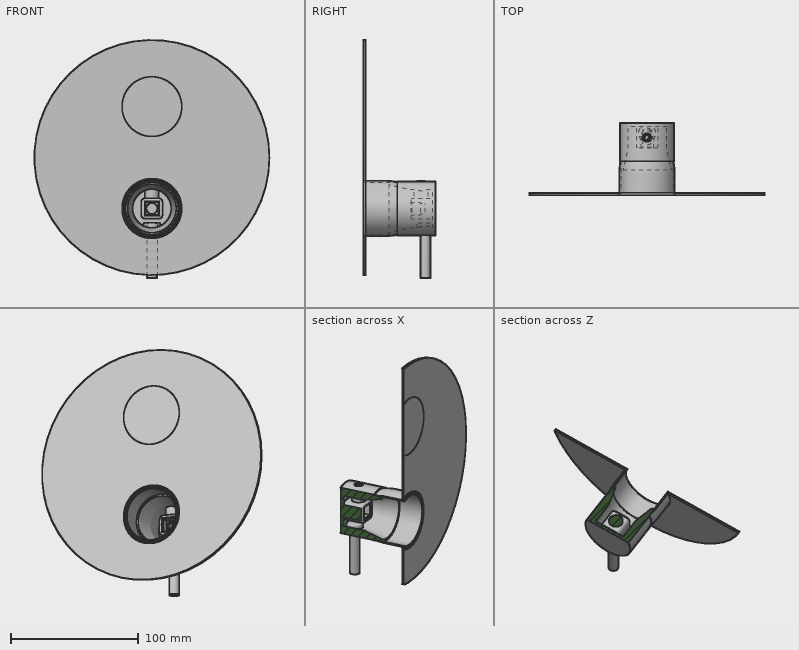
import cadquery as cq

PLATE_DIAMETER = 185.0
PLATE_THICKNESS = 2.0
CONTROL_OFFSET = 40.0
SEAT_DIAMETER = 47.0
SEAT_DEPTH = 0.1
PASSAGE_DIAMETER = 44.7

SLEEVE_RADIUS = 21.9
SLEEVE_BORE_RADIUS = 20.5
SLEEVE_TIP_RADIUS = 20.8
SLEEVE_STRAIGHT_END = 18.7
SLEEVE_END = 27.0

KNOB_RADIUS = 21.3
KNOB_END = 57.3
KNOB_EDGE = 0.4
NECK_START = 20.0
MOUTH_RADIUS = 19.0
MOUTH_CHAMFER = 0.5
MOUTH_CHAMFER_LENGTH = 1.3
CAVITY_RADIUS = 15.2
CAVITY_TAPER_END = 36.7
CAVITY_FLOOR = 54.3
WALL_MIDDLE_RADIUS = (KNOB_RADIUS + CAVITY_RADIUS) / 2

SOCKET_START = 37.5
SOCKET_WIDTH = 16.8
SOCKET_HEIGHT = 16.5
SOCKET_CORNER = 3.5
SOCKET_EDGE = 1.7
SOCKET_SQUARE = 9.7
SOCKET_SQUARE_DEPTH = 7.5
SOCKET_LEAD_IN = 1.0
SOCKET_BORE_DIAMETER = 8.6
SOCKET_BORE_DEPTH = 11.2

SCREW_Y = 45.5
SCREW_DIAMETER = 6.7
SCREW_HEIGHT = 0.4
SCREW_EDGE = 0.4
SCREW_RECESS_DIAMETER = 3.7
SCREW_RECESS_DEPTH = 1.9
POST_DIAMETER = 11.0

LEVER_Y = 49.0
LEVER_DIAMETER = 8.0
OVERALL_HEIGHT = 187.2
LEVER_TIP_Z = PLATE_DIAMETER / 2 - OVERALL_HEIGHT
LEVER_EDGE = 0.4
BOSS_DIAMETER = 13.5
BOSS_REACH = 11.2
BOSS_EDGE = 1.3


def disc_along_y(radius, start, end, center_z):
    """Round bar between two Y positions with its axis at X = 0."""
    plane = cq.Workplane("XZ", origin=(0, start, center_z))
    return plane.circle(radius).extrude(start - end)


def block_along_y(width, height, start, end):
    """Rectangular bar on the knob axis between two Y positions."""
    plane = cq.Workplane("XZ", origin=(0, start, -CONTROL_OFFSET))
    return plane.rect(width, height).extrude(start - end)


def post_along_z(diameter, y, bottom, top):
    """Upright round bar, with its ends measured from the knob axis."""
    plane = cq.Workplane("XY", origin=(0, y, bottom - CONTROL_OFFSET))
    return plane.circle(diameter / 2).extrude(top - bottom)


def revolve_on_control(profile):
    """Turn a (radius, Y) profile around Y and move it to the lower control."""
    return profile.close().revolve(360, (0, 0), (0, 1)).translate((0, 0, -CONTROL_OFFSET))


def make_plate():
    plate = disc_along_y(PLATE_DIAMETER / 2, 0, PLATE_THICKNESS, 0)
    for center_z in (CONTROL_OFFSET, -CONTROL_OFFSET):
        plate = plate.cut(disc_along_y(SEAT_DIAMETER / 2, 0, SEAT_DEPTH, center_z))
    return plate.cut(disc_along_y(PASSAGE_DIAMETER / 2, 0, PLATE_THICKNESS, -CONTROL_OFFSET))


def make_sleeve():
    profile = (
        cq.Workplane("XY")
        .moveTo(SLEEVE_BORE_RADIUS, 0)
        .lineTo(SLEEVE_RADIUS, 0)
        .lineTo(SLEEVE_RADIUS, SLEEVE_STRAIGHT_END)
        .tangentArcPoint((SLEEVE_TIP_RADIUS, SLEEVE_END), relative=False)
        .lineTo(SLEEVE_BORE_RADIUS, SLEEVE_END)
    )
    return revolve_on_control(profile)


def make_knob_shell():
    taper_radius = MOUTH_RADIUS - MOUTH_CHAMFER
    neck_radius = SLEEVE_BORE_RADIUS
    profile = (
        cq.Workplane("XY")
        .moveTo(MOUTH_RADIUS, NECK_START)
        .lineTo(neck_radius, NECK_START)
        .lineTo(neck_radius, SLEEVE_END)
        .lineTo(KNOB_RADIUS, SLEEVE_END)
        .lineTo(KNOB_RADIUS, KNOB_END - KNOB_EDGE)
        .lineTo(KNOB_RADIUS - KNOB_EDGE, KNOB_END)
        .lineTo(0, KNOB_END)
        .lineTo(0, CAVITY_FLOOR)
        .lineTo(CAVITY_RADIUS, CAVITY_FLOOR)
        .lineTo(CAVITY_RADIUS, CAVITY_TAPER_END)
        .lineTo(taper_radius, NECK_START + MOUTH_CHAMFER_LENGTH)
    )
    return revolve_on_control(profile)


def make_socket():
    socket = block_along_y(SOCKET_WIDTH, SOCKET_HEIGHT, SOCKET_START, CAVITY_FLOOR)
    return socket.edges("|Y").fillet(SOCKET_CORNER).faces("<Y").edges().fillet(SOCKET_EDGE)


def make_socket_hole():
    square_end = SOCKET_START + SOCKET_SQUARE_DEPTH
    square = block_along_y(SOCKET_SQUARE, SOCKET_SQUARE, SOCKET_START, square_end)
    rim_plane = cq.Workplane("XZ", origin=(0, SOCKET_START, -CONTROL_OFFSET))
    rim_width = SOCKET_SQUARE + 2 * SOCKET_LEAD_IN
    lead_in = (
        rim_plane.rect(rim_width, rim_width)
        .workplane(offset=-SOCKET_LEAD_IN)
        .rect(SOCKET_SQUARE, SOCKET_SQUARE)
        .loft(ruled=True)
    )
    bore_end = SOCKET_START + SOCKET_BORE_DEPTH
    bore = disc_along_y(SOCKET_BORE_DIAMETER / 2, SOCKET_START, bore_end, -CONTROL_OFFSET)
    return square.union(lead_in).union(bore)


def make_screw():
    """Screw head and its post, one piece with the knob."""
    top = KNOB_RADIUS + SCREW_HEIGHT
    post = post_along_z(POST_DIAMETER, SCREW_Y, 0, WALL_MIDDLE_RADIUS)
    head = post_along_z(SCREW_DIAMETER, SCREW_Y, 0, top).faces(">Z").chamfer(SCREW_EDGE)
    recess = post_along_z(SCREW_RECESS_DIAMETER, SCREW_Y, top - SCREW_RECESS_DEPTH, top)
    return post.union(head).cut(recess)


def make_lever():
    tip = LEVER_TIP_Z + CONTROL_OFFSET
    lever = post_along_z(LEVER_DIAMETER, LEVER_Y, tip, -CAVITY_RADIUS)
    lever = lever.faces("<Z").chamfer(LEVER_EDGE)
    boss = post_along_z(BOSS_DIAMETER, LEVER_Y, -WALL_MIDDLE_RADIUS, -BOSS_REACH)
    return lever.union(boss.faces(">Z").edges().fillet(BOSS_EDGE))


def make_knob():
    knob = make_knob_shell().union(make_socket()).union(make_screw()).union(make_lever())
    return knob.cut(make_socket_hole())


plate = make_plate()
sleeve = make_sleeve()
knob = make_knob()

result = cq.Compound.makeCompound([plate.val(), sleeve.val(), knob.val()])